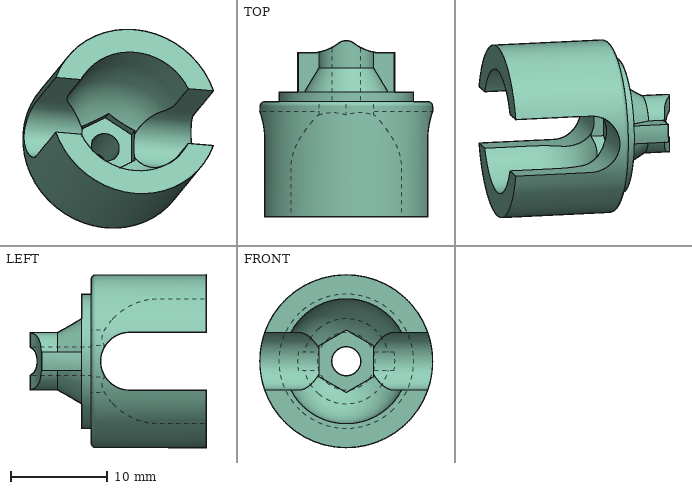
import cadquery as cq
import math

body_radius = 9.0
body_length = 12.0
body_edge_fillet = 0.5

bore_radius = 6.5
bore_straight_depth = 5.0
slot_width = 6.0
slot_depth = 11.0

nut_across_corners = 6.5
nut_floor = 12.0
screw_hole_diameter = 3.0

disc_radius = 7.0
disc_thickness = 1.0
tip_radius = 3.0
cone_length = 2.5
cone_half_angle = 30.0
tip_end = 18.36

wing_radius = 5.05
wing_thickness = 1.9
wing_end = 17.1

crest_radius = 1.3
saddle_half_width = 3.7

disc_end = body_length + disc_thickness
cone_end = disc_end + cone_length
cone_base_radius = tip_radius + cone_length * math.tan(math.radians(cone_half_angle))

saddle_drop = tip_end - wing_end
arc_centre_distance = (saddle_half_width**2 + saddle_drop**2) / (2 * saddle_drop)
flank_radius = arc_centre_distance - crest_radius
blend_angle = math.asin(saddle_half_width / arc_centre_distance)


def cylinder_along_y(radius, y_start, y_end):
    """Solid cylinder on the Y axis between two stations."""
    base = cq.Workplane("XZ", origin=(0, y_start, 0))
    return base.circle(radius).extrude(-(y_end - y_start))


def make_body():
    """Socket cylinder, its back rim rounded, with the shoulder disc behind it."""
    body = cylinder_along_y(body_radius, 0, body_length)
    body = body.faces(">Y").edges().fillet(body_edge_fillet)
    return body.union(cylinder_along_y(disc_radius, body_length, disc_end))


def make_tip():
    """Cone, cylindrical tip and wings, before the end is shaped."""
    tip = (
        cq.Workplane("XY")
        .moveTo(0, disc_end)
        .lineTo(cone_base_radius, disc_end)
        .lineTo(tip_radius, cone_end)
        .lineTo(tip_radius, tip_end)
        .lineTo(0, tip_end)
        .close()
        .revolve(360, (0, 0, 0), (0, 1, 0))
    )
    wing_length = wing_end - disc_end
    wing_slab = cq.Workplane("XY").box(2 * wing_radius, wing_length, wing_thickness)
    wing_slab = wing_slab.translate((0, disc_end + wing_length / 2, 0))
    wings = cylinder_along_y(wing_radius, disc_end, wing_end).intersect(wing_slab)
    return tip.union(wings)


def crest_point(angle):
    """Point on the crest arc, at an angle from its top."""
    return crest_radius * math.sin(angle), tip_end - crest_radius * (1 - math.cos(angle))


def flank_point(angle):
    """Point on the concave flank arc, at an angle from its lowest point."""
    x = saddle_half_width - flank_radius * math.sin(angle)
    return x, wing_end + flank_radius * (1 - math.cos(angle))


def make_saddle_cutter():
    """Material removed above the crest and flank on the +X side."""
    return (
        cq.Workplane("XY")
        .moveTo(0, tip_end)
        .threePointArc(crest_point(blend_angle / 2), crest_point(blend_angle))
        .threePointArc(flank_point(blend_angle / 2), flank_point(0))
        .lineTo(saddle_half_width, tip_end)
        .close()
        .extrude(body_radius, both=True)
    )


def make_ball_bore():
    """Straight bore closed by a hemisphere."""
    ball = cq.Workplane("XY").sphere(bore_radius).translate((0, bore_straight_depth, 0))
    return cylinder_along_y(bore_radius, 0, bore_straight_depth).union(ball)


def make_slot():
    """Round-ended slot running through the socket wall along X."""
    half_width = slot_width / 2
    straight_end = slot_depth - half_width
    return (
        cq.Workplane("YZ")
        .moveTo(0, -half_width)
        .lineTo(straight_end, -half_width)
        .threePointArc((slot_depth, 0), (straight_end, half_width))
        .lineTo(0, half_width)
        .close()
        .extrude(body_radius, both=True)
    )


def make_nut_pocket():
    """Hexagonal pocket with corners pointing along Z."""
    base = cq.Workplane("XZ", origin=(0, bore_straight_depth, 0))
    pocket = base.polygon(6, nut_across_corners).extrude(-(nut_floor - bore_straight_depth))
    return pocket.rotate((0, 0, 0), (0, 1, 0), 90)


result = make_body().union(make_tip())
saddle_cutter = make_saddle_cutter()
result = result.cut(saddle_cutter)
result = result.cut(saddle_cutter.mirror("YZ"))
result = result.cut(make_ball_bore())
result = result.cut(make_slot())
result = result.cut(make_nut_pocket())
result = result.cut(cylinder_along_y(screw_hole_diameter / 2, 0, tip_end))